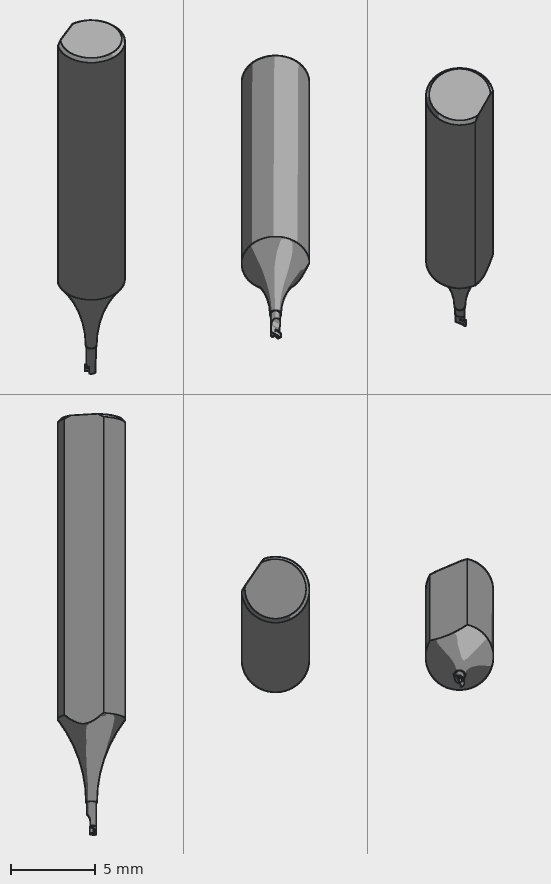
import cadquery as cq
import math

total_length = 25.0
shank_diameter = 4.0
shank_radius = shank_diameter / 2
flat_distance = 1.6
shank_chamfer = 0.2
shank_start = 7.0

taper_start = 2.0
taper_end_radius = 0.33

neck_radius = 0.29
neck_end = 0.08

recess_height = 0.56
tooth_height = 0.46
head_reach = 0.4
tip_half_width = 0.1
tooth_root = 0.1
tooth_thickness = 0.2
relief_angle = 20.0

runout_bottom = 0.78
runout_top = 1.28


def tangent_arc_midpoint(y_start, z_start, y_end, z_end):
    """Middle point of a rising arc that leaves its start point parallel to Z."""
    rise = z_end - z_start
    spread = y_end - y_start
    arc_radius = (rise**2 + spread**2) / (2 * spread)
    half_angle = math.atan2(spread, rise)
    return (
        y_start + arc_radius * (1 - math.cos(half_angle)),
        z_start + arc_radius * math.sin(half_angle),
    )


def make_body():
    """Shank, taper and neck turned as one piece."""
    taper_middle = tangent_arc_midpoint(taper_end_radius, taper_start, shank_radius, shank_start)
    profile = (
        cq.Workplane("YZ")
        .moveTo(0, neck_end)
        .lineTo(-neck_radius, neck_end)
        .lineTo(-neck_radius, taper_start)
        .lineTo(-taper_end_radius, taper_start)
        .threePointArc((-taper_middle[0], taper_middle[1]), (-shank_radius, shank_start))
        .lineTo(-shank_radius, total_length - shank_chamfer)
        .lineTo(-shank_radius + shank_chamfer, total_length)
        .lineTo(0, total_length)
        .close()
    )
    return profile.revolve(360, (0, 0, 0), (0, 1, 0))


def make_flat_cutter():
    cutter = cq.Workplane("XY").box(
        shank_radius, shank_diameter, total_length, centered=(False, True, False)
    )
    return cutter.translate((-flat_distance - shank_radius, 0, 0))


def make_chip_relief_cutter():
    runout_middle = tangent_arc_midpoint(0, runout_bottom, neck_radius, runout_top)
    return (
        cq.Workplane("YZ")
        .moveTo(0, 0)
        .lineTo(0, runout_bottom)
        .threePointArc(runout_middle, (neck_radius, runout_top))
        .lineTo(neck_radius, 0)
        .close()
        .extrude(neck_radius, both=True)
    )


def make_recess_cutter():
    """Space around the tooth: the lower end of the neck's -X half."""
    cutter = cq.Workplane("XY").box(
        neck_radius, 2 * neck_radius, recess_height, centered=(False, True, False)
    )
    return cutter.translate((-neck_radius, 0, 0))


def make_tooth():
    """Tooth outlined on the rake face and narrowing toward -Y for clearance."""
    outline = [
        (tooth_root, neck_end),
        (-head_reach + 2 * tip_half_width, neck_end),
        (-head_reach + tip_half_width, 0),
        (-head_reach, neck_end),
        (-head_reach, tooth_height),
        (tooth_root, tooth_height),
    ]
    return cq.Workplane("XZ").polyline(outline).close().extrude(tooth_thickness, taper=relief_angle)


body = make_body()
body = body.cut(make_flat_cutter())
body = body.cut(make_chip_relief_cutter())
body = body.cut(make_recess_cutter())
result = body.union(make_tooth())